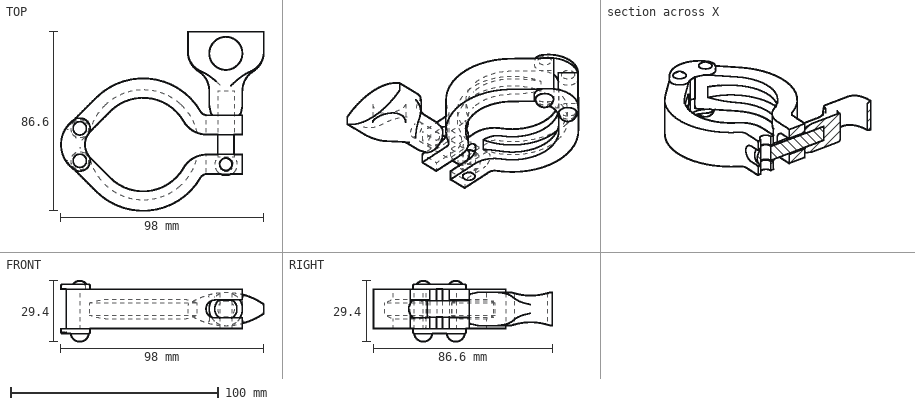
import cadquery as cq
import math


jaw_height = 19.0
jaw_width = 9.5
ring_inner_radius = 22.5
ring_outer_radius = ring_inner_radius + jaw_width
jaw_gap = 9.5
lug_inner_y = jaw_gap / 2
lug_outer_y = lug_inner_y + jaw_width
lug_end_x = 47.9
bend_outer_radius = 3.6
bend_inner_radius = bend_outer_radius + jaw_width
arm_length = 20.6
arm_angle = 135
jaw_top_z = jaw_height / 2

groove_radius = 26.6
groove_mouth_height = 9.5
groove_floor_height = 5.9

bolt_x = 40.0
slot_height = 8.6
slot_end_x = 30.4
pivot_y = -(lug_inner_y + lug_outer_y) / 2
pivot_hole_radius = 2.9

rivet_x = -30.6
rivet_y = 7.8
link_thickness = 2.4
link_end_radius = 5.0
link_left_x = -39.7
link_waist_x = -28.0
link_edge_round = 0.8
top_head_radius = 3.2
top_head_height = 1.7
bottom_head_radius = 4.4
bottom_head_height = 3.9

rod_radius = 4.0
ball_radius = 5.4
ball_flat_height = 8.3

wing_half_width = 18.3
turned_radius = 18.4
nut_length = 40.3
nut_bottom_y = lug_outer_y
nut_top_y = nut_bottom_y + nut_length
neck_radius = 8.0
neck_taper_length = 4.3
neck_tip_radius = 7.3
neck_tip_round = 1.1
wing_height = 28.5
neck_top_y = nut_top_y - wing_height
wing_side_length = 9.8
wing_tip_half_height = 2.3
wing_edge_round = 0.9
grip_hole_radius = 7.9
grip_hole_inset = 10.5
grip_hole_y = nut_top_y - grip_hole_inset
grip_hole_round = 1.6


def polar(radius, degrees):
    """Point at a radius and angle around the origin."""
    angle = math.radians(degrees)
    return radius * math.cos(angle), radius * math.sin(angle)


def along(start, end, distance):
    """Point at a distance from start on the way to end."""
    share = distance / math.dist(start, end)
    return start[0] + share * (end[0] - start[0]), start[1] + share * (end[1] - start[1])


def make_jaw():
    """Upper jaw: a straight arm at 45 degrees, a ring arc, a reverse bend and a flat lug."""
    centre_distance = ring_outer_radius + bend_outer_radius
    bend_y = lug_outer_y + bend_outer_radius
    bend_x = math.sqrt(centre_distance**2 - bend_y**2)
    bend_angle = math.degrees(math.atan2(bend_y, bend_x))
    mid_bend_angle = (bend_angle + 180 + 270) / 2

    def arm_end(radius):
        """Free corner of the arm, on the line that is tangent to the ring at this radius."""
        x, y = polar(radius, arm_angle)
        dx, dy = polar(arm_length, arm_angle + 90)
        return x + dx, y + dy

    def bend_mid(radius):
        """Middle of the bend's arc of this radius."""
        dx, dy = polar(radius, mid_bend_angle)
        return bend_x + dx, bend_y + dy

    mid_ring_angle = (arm_angle + bend_angle) / 2
    outline = (
        cq.Workplane("XY", origin=(0, 0, -jaw_top_z))
        .moveTo(*arm_end(ring_outer_radius))
        .lineTo(*polar(ring_outer_radius, arm_angle))
        .threePointArc(polar(ring_outer_radius, mid_ring_angle), polar(ring_outer_radius, bend_angle))
        .threePointArc(bend_mid(bend_outer_radius), (bend_x, lug_outer_y))
        .lineTo(lug_end_x, lug_outer_y)
        .lineTo(lug_end_x, lug_inner_y)
        .lineTo(bend_x, lug_inner_y)
        .threePointArc(bend_mid(bend_inner_radius), polar(ring_inner_radius, bend_angle))
        .threePointArc(polar(ring_inner_radius, mid_ring_angle), polar(ring_inner_radius, arm_angle))
        .lineTo(*arm_end(ring_inner_radius))
        .close()
    )
    return outline.extrude(jaw_height).cut(make_groove()).cut(make_lug_slot())


def make_groove():
    """Ring with tapered flanks that is cut out of the inner walls of the jaws."""
    flank_slope = (groove_mouth_height - groove_floor_height) / 2 / (groove_radius - ring_inner_radius)
    axis_half_height = groove_floor_height / 2 + flank_slope * groove_radius
    return (
        cq.Workplane("XZ")
        .polyline([
            (0, -axis_half_height),
            (groove_radius, -groove_floor_height / 2),
            (groove_radius, groove_floor_height / 2),
            (0, axis_half_height),
        ])
        .close()
        .revolve(360, (0, 0, 0), (0, 1, 0))
    )


def make_lug_slot():
    """Slot for the bolt, with a round closed end and open at the lug's end."""
    radius = slot_height / 2
    return (
        cq.Workplane("XZ")
        .moveTo(lug_end_x, radius)
        .lineTo(slot_end_x + radius, radius)
        .threePointArc((slot_end_x, 0), (slot_end_x + radius, -radius))
        .lineTo(lug_end_x, -radius)
        .close()
        .extrude(ring_outer_radius, both=True)
    )


def make_link():
    """Kidney-shaped plate around both rivets, resting on the top of the jaws."""
    rise = rivet_y**2
    reach = rivet_x - link_left_x
    outer_radius = (reach**2 + rise - link_end_radius**2) / (2 * (reach - link_end_radius))
    outer_centre = (link_left_x + outer_radius, 0)
    reach = link_waist_x - rivet_x
    inner_radius = (reach**2 + rise - link_end_radius**2) / (2 * (link_end_radius - reach))
    inner_centre = (link_waist_x + inner_radius, 0)

    rivet = (rivet_x, rivet_y)
    outer_joint = along(outer_centre, rivet, outer_radius)
    inner_joint = along(inner_centre, rivet, inner_radius)
    end_mid = along(rivet, (rivet_x + 1, rivet_y + 1), link_end_radius)
    return (
        cq.Workplane("XY", origin=(0, 0, jaw_top_z))
        .moveTo(outer_joint[0], -outer_joint[1])
        .threePointArc((link_left_x, 0), outer_joint)
        .threePointArc(end_mid, inner_joint)
        .threePointArc((link_waist_x, 0), (inner_joint[0], -inner_joint[1]))
        .threePointArc((end_mid[0], -end_mid[1]), (outer_joint[0], -outer_joint[1]))
        .close()
        .extrude(link_thickness)
        .faces(">Z")
        .edges()
        .fillet(link_edge_round)
    )


def make_rivet():
    """Shank with a low domed head on top and a tall domed head underneath."""
    def dome_mid(radius, height):
        """Radius and height of the point halfway along the dome's profile."""
        sphere_radius = (radius**2 + height**2) / (2 * height)
        half_angle = math.asin(radius / sphere_radius) / 2
        return sphere_radius * math.sin(half_angle), height - sphere_radius * (1 - math.cos(half_angle))

    seat_z = jaw_top_z + link_thickness
    top_mid_x, top_mid_z = dome_mid(top_head_radius, top_head_height)
    bottom_mid_x, bottom_mid_z = dome_mid(bottom_head_radius, bottom_head_height)
    return (
        cq.Workplane("XZ")
        .moveTo(0, seat_z + top_head_height)
        .threePointArc((top_mid_x, seat_z + top_mid_z), (top_head_radius, seat_z))
        .lineTo(top_head_radius, -seat_z)
        .lineTo(bottom_head_radius, -seat_z)
        .threePointArc((bottom_mid_x, -seat_z - bottom_mid_z), (0, -seat_z - bottom_head_height))
        .close()
        .revolve(360, (0, 0, 0), (0, 1, 0))
    )


def make_clamp():
    """Both jaws joined by the riveted hinge links."""
    jaw = make_jaw()
    pivot_hole = (
        cq.Workplane("XY", origin=(bolt_x, pivot_y, 0))
        .circle(pivot_hole_radius)
        .extrude(jaw_height, both=True)
    )
    lower_jaw = jaw.mirror("XZ").cut(pivot_hole)
    link = make_link()
    clamp = link.union(jaw).union(lower_jaw).union(link.mirror("XY"))
    for side in (1, -1):
        clamp = clamp.union(make_rivet().translate((rivet_x, side * rivet_y, 0)))
    return clamp


def make_rod():
    """Round rod from the pivot to the top of the nut's neck."""
    return (
        cq.Workplane("XZ", origin=(bolt_x, pivot_y, 0))
        .circle(rod_radius)
        .extrude(pivot_y - neck_top_y)
    )


def make_bolt():
    """Eye bolt: a flattened ball with a pivot hole, on a plain rod."""
    eye_size = 2 * ball_radius
    flats = cq.Workplane("XY").box(eye_size, eye_size, ball_flat_height)
    eye = cq.Workplane("XY").sphere(ball_radius).intersect(flats)
    pivot_hole = cq.Workplane("XY").circle(pivot_hole_radius).extrude(ball_radius, both=True)
    place = (bolt_x, pivot_y, 0)
    return eye.translate(place).union(make_rod()).cut(pivot_hole.translate(place))


def make_nut():
    """Wing nut: a turned body trimmed to a lens section, with a grip hole through the wing."""
    flare_top_y = nut_top_y - wing_side_length
    flare_mid = ((neck_radius + turned_radius) / 2, (neck_top_y + flare_top_y) / 2)
    taper_top_y = nut_bottom_y + neck_taper_length
    tip_flat_radius = neck_tip_radius - neck_tip_round
    turned_body = (
        cq.Workplane("XY")
        .moveTo(0, nut_top_y)
        .lineTo(turned_radius, nut_top_y)
        .lineTo(turned_radius, flare_top_y)
        .tangentArcPoint(flare_mid, relative=False)
        .tangentArcPoint((neck_radius, neck_top_y), relative=False)
        .lineTo(neck_radius, taper_top_y)
        .lineTo(neck_tip_radius, nut_bottom_y + neck_tip_round)
        .tangentArcPoint((tip_flat_radius, nut_bottom_y), relative=False)
        .lineTo(0, nut_bottom_y)
        .close()
        .revolve(360, (0, 0, 0), (0, 1, 0))
    )
    lens = (
        cq.Workplane("XZ", origin=(0, nut_bottom_y, 0))
        .moveTo(-wing_half_width, -wing_tip_half_height)
        .threePointArc((0, -neck_radius), (wing_half_width, -wing_tip_half_height))
        .lineTo(wing_half_width, wing_tip_half_height)
        .threePointArc((0, neck_radius), (-wing_half_width, wing_tip_half_height))
        .close()
        .extrude(-nut_length)
        .edges("|Y")
        .fillet(wing_edge_round)
    )
    grip_hole = (
        cq.Workplane("XY", origin=(0, grip_hole_y, 0))
        .circle(grip_hole_radius)
        .extrude(2 * neck_radius, both=True)
    )
    nut = turned_body.intersect(lens).cut(grip_hole)
    rim_reach = grip_hole_radius + grip_hole_round
    hole_rim = cq.selectors.BoxSelector(
        (-rim_reach, grip_hole_y - rim_reach, -2 * neck_radius),
        (rim_reach, grip_hole_y + rim_reach, 2 * neck_radius),
        boundingbox=True,
    )
    nut = nut.edges(hole_rim).edges("not |Z").fillet(grip_hole_round)
    return nut.translate((bolt_x, 0, 0)).cut(make_rod())


clamp = make_clamp()
bolt = make_bolt()
nut = make_nut()
result = cq.Compound.makeCompound([clamp.val(), bolt.val(), nut.val()])